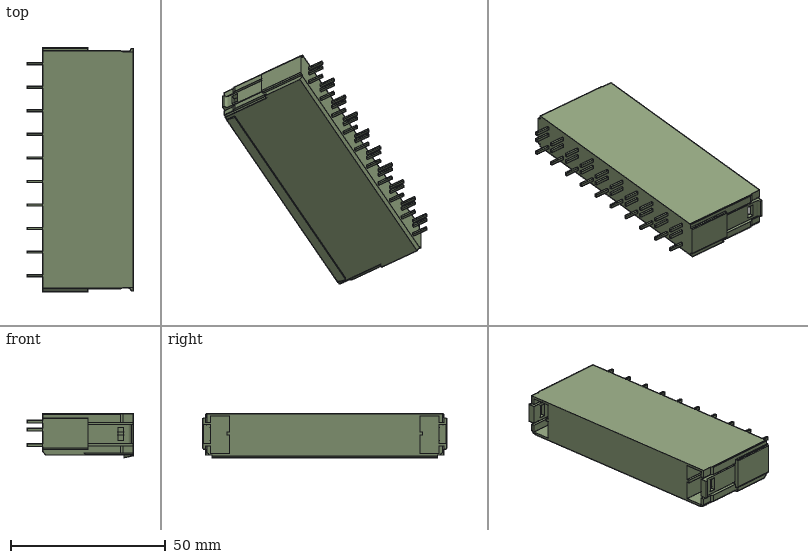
import cadquery as cq

length = 29.3
height = 13.4
half_width = 38.55
back_chamfer_x = 0.95
back_chamfer_z = 1.2
top_bevel = 0.2

taper_start = 25.1
taper_end = 26.1
nose_half_width = 38.1

rebate_start = 13.35
rebate_height = 0.7
rebate_depth = 0.7
rebate_slope_depth = 0.4
rebate_lip = 0.2

pad_length = 14.6
pad_bottom = 1.8
pad_top = 12.0
pad_half_width = 39.5
pad_bevel_depth = 0.3
pad_top_bevel = 0.2
pad_bottom_bevel = 0.5

arm_bottom = 3.7
arm_top = 9.9
arm_gap = 0.7
arm_half_width = 38.3
arm_overlap = 0.8
wall_inner = 37.0
hook_start = 27.65
hook_curve_mid = (28.05, 38.4)
hook_curve_end = (28.4, 38.6)
hook_tip = 28.7
hook_half_width = 39.3
window_start = 24.3
window_end = 26.2
window_bottom = 4.7
window_top = 8.9

pocket_inner = 30.8
pocket_floor = 0.55
roof_thickness = 0.8
pocket_roof = height - roof_thickness
rib_bottom = 6.55
rib_height = 0.95
rib_depth = 0.8

catch_start = 26.3
catch_half_width = 36.5
catch_drop = 0.9
catch_end_drop = 0.2

pin_length = 5.0
pin_width = 0.7
pin_height = 0.95
pin_columns = 10
pin_span = 68.6
pin_levels = (3.2, 8.2, 10.8)

overshoot = 3.95


def block(x0, x1, y0, y1, z0, z1):
    """Box between two opposite corners."""
    return cq.Workplane("XY").box(x1 - x0, y1 - y0, z1 - z0, centered=False).translate((x0, y0, z0))


def along_x(points, x0, x1):
    """Prism with a (Y, Z) outline, running from x0 to x1."""
    return cq.Workplane("YZ").workplane(offset=x0).polyline(points).close().extrude(x1 - x0)


def across_y(points, reach):
    """Prism with an (X, Z) outline, running from -reach to +reach in Y."""
    return cq.Workplane("XZ").polyline(points).close().extrude(reach, both=True)


def make_body():
    half_plan = [
        (0, 0),
        (0, half_width),
        (taper_start, half_width),
        (taper_end, nose_half_width),
        (length, nose_half_width),
        (length, 0),
    ]
    plan = cq.Workplane("XY").polyline(half_plan).close().extrude(height)
    body = plan.union(plan.mirror("XZ"))
    back_corner = [(0, 0), (back_chamfer_x, 0), (0, back_chamfer_z)]
    return body.cut(across_y(back_corner, half_width + overshoot))


def make_top_edge_cutter():
    bevel = [
        (half_width, height - top_bevel),
        (half_width, height),
        (half_width - top_bevel, height),
    ]
    return along_x(bevel, 0, length)


def make_bottom_rebate_cutter():
    ledge_inner = half_width - rebate_depth
    inner = ledge_inner - rebate_slope_depth
    outer = half_width + overshoot
    section = [
        (inner, 0),
        (inner, rebate_lip),
        (ledge_inner, rebate_height),
        (outer, rebate_height),
        (outer, 0),
    ]
    sloped_start = [
        (rebate_start, rebate_height),
        (rebate_start + rebate_height, 0),
        (length, 0),
        (length, rebate_height),
    ]
    return along_x(section, rebate_start, length).intersect(across_y(sloped_start, outer))


def make_pad():
    bevel_y = pad_half_width - pad_bevel_depth
    section = [
        (wall_inner, pad_bottom),
        (bevel_y, pad_bottom),
        (pad_half_width, pad_bottom + pad_bottom_bevel),
        (pad_half_width, pad_top - pad_top_bevel),
        (bevel_y, pad_top),
        (wall_inner, pad_top),
    ]
    return along_x(section, 0, pad_length)


def make_pocket():
    pocket = block(pad_length, length, pocket_inner, wall_inner, pocket_floor, pocket_roof)
    opening = block(
        pad_length, length, pocket_inner, half_width + overshoot, arm_bottom - arm_gap, arm_top + arm_gap
    )
    rib = block(
        pad_length, length, pocket_inner, pocket_inner + rib_depth, rib_bottom, rib_bottom + rib_height
    )
    return pocket.union(opening).cut(rib)


def make_arm():
    root = pad_length - arm_overlap
    arm = (
        cq.Workplane("XY")
        .workplane(offset=arm_bottom)
        .moveTo(root, wall_inner)
        .lineTo(root, arm_half_width)
        .lineTo(hook_start, arm_half_width)
        .threePointArc(hook_curve_mid, hook_curve_end)
        .lineTo(hook_tip, hook_half_width)
        .lineTo(length, hook_half_width)
        .lineTo(length, wall_inner)
        .close()
        .extrude(arm_top - arm_bottom)
    )
    window = block(
        window_start, window_end, wall_inner - overshoot, half_width + overshoot, window_bottom, window_top
    )
    return arm.cut(window)


def make_catch():
    wedge = [
        (catch_start, 0),
        (catch_start, -catch_drop),
        (length, -catch_end_drop),
        (length, pocket_floor),
        (catch_start, pocket_floor),
    ]
    return across_y(wedge, catch_half_width)


def make_pins():
    pitch = pin_span / (pin_columns - 1)
    centres = [
        (column * pitch - pin_span / 2, level)
        for column in range(pin_columns)
        for level in pin_levels
    ]
    return (
        cq.Workplane("YZ")
        .workplane(offset=-pin_length)
        .pushPoints(centres)
        .rect(pin_width, pin_height)
        .extrude(pin_length)
    )


def both_sides(shape):
    """The shape together with its mirror image on the -Y side."""
    return shape.union(shape.mirror("XZ"))


result = make_body()
for cutter in (make_top_edge_cutter(), make_bottom_rebate_cutter(), make_pocket()):
    result = result.cut(both_sides(cutter))
for addition in (make_pad(), make_arm()):
    result = result.union(both_sides(addition))
result = result.union(make_catch()).union(make_pins())